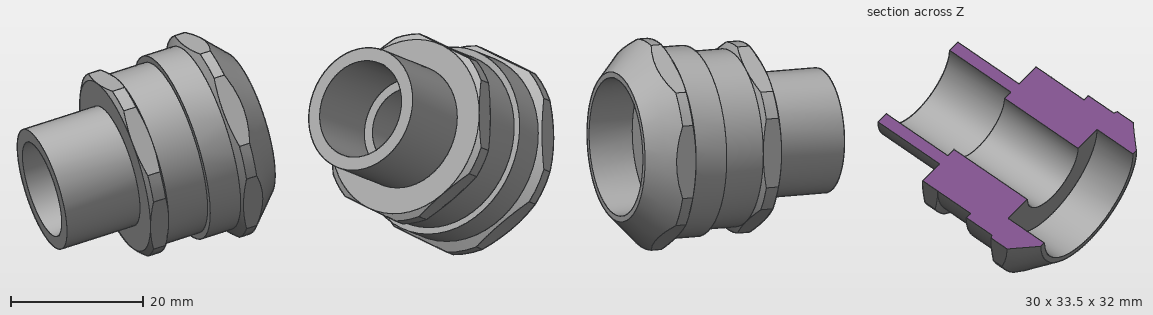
import cadquery as cq
import math


pipe_length = 12.0
small_hex_width = 3.0
total_length = 33.46
rear_length = 7.06
flange_width = 5.0

pipe_diameter = 19.0
body_diameter = 27.0
flange_diameter = 29.0

small_hex_flats = body_diameter
small_hex_corners = flange_diameter
large_hex_flats = 30.0
large_hex_corners = 32.0
hex_sides = 6

corner_chamfer_slope = 0.5
large_hex_land = 1.68
rear_cone_angle = 45.0

pipe_bore_diameter = 14.95
pipe_bore_depth = pipe_length
through_diameter = 12.0
rear_bore_diameter = 21.0
rear_bore_depth = rear_length

small_hex_start = pipe_length
small_hex_end = small_hex_start + small_hex_width
large_hex_start = total_length - rear_length
flange_start = large_hex_start - flange_width


def cylinder(diameter, start, end):
    """Round bar along Y between two stations."""
    plane = cq.Workplane("XZ", origin=(0, start, 0))
    return plane.circle(diameter / 2).extrude(start - end)


def hexagon(across_flats, start, end):
    """Hexagonal bar along Y with two flats facing +X and -X."""
    across_corners = across_flats / math.cos(math.pi / hex_sides)
    half_side_angle = 180 / hex_sides
    plane = cq.Workplane("XZ", origin=(0, start, 0))
    prism = plane.polygon(hex_sides, across_corners).extrude(start - end)
    return prism.rotate((0, 0, 0), (0, 1, 0), half_side_angle)


def turned(profile):
    """Solid of revolution about Y from (radius, station) points."""
    return cq.Workplane("XY").polyline(profile).close().revolve(360, (0, 0, 0), (0, 1, 0))


def small_hex():
    """Front hexagon with both corner edges chamfered down to the body diameter."""
    face_radius = body_diameter / 2
    corner_radius = small_hex_corners / 2
    chamfer = corner_chamfer_slope * (corner_radius - face_radius)
    envelope = turned([
        (0, small_hex_start),
        (face_radius, small_hex_start),
        (corner_radius, small_hex_start + chamfer),
        (corner_radius, small_hex_end - chamfer),
        (face_radius, small_hex_end),
        (0, small_hex_end),
    ])
    return hexagon(small_hex_flats, small_hex_start, small_hex_end).intersect(envelope)


def large_hex():
    """Rear hexagon, chamfered to the flange in front and running into a cone behind."""
    face_radius = flange_diameter / 2
    corner_radius = large_hex_corners / 2
    land_start = large_hex_start + corner_chamfer_slope * (corner_radius - face_radius)
    land_end = land_start + large_hex_land
    cone_drop = (total_length - land_end) * math.tan(math.radians(rear_cone_angle))
    envelope = turned([
        (0, large_hex_start),
        (face_radius, large_hex_start),
        (corner_radius, land_start),
        (corner_radius, land_end),
        (corner_radius - cone_drop, total_length),
        (0, total_length),
    ])
    return hexagon(large_hex_flats, large_hex_start, total_length).intersect(envelope)


def bores():
    """Stepped passage through the whole part."""
    passage = cylinder(through_diameter, 0, total_length)
    front = cylinder(pipe_bore_diameter, 0, pipe_bore_depth)
    rear = cylinder(rear_bore_diameter, total_length - rear_bore_depth, total_length)
    return passage.union(front).union(rear)


pipe = cylinder(pipe_diameter, 0, small_hex_start)
body = cylinder(body_diameter, small_hex_end, flange_start)
flange = cylinder(flange_diameter, flange_start, large_hex_start)

outside = pipe.union(small_hex()).union(body).union(flange).union(large_hex())
result = outside.cut(bores())